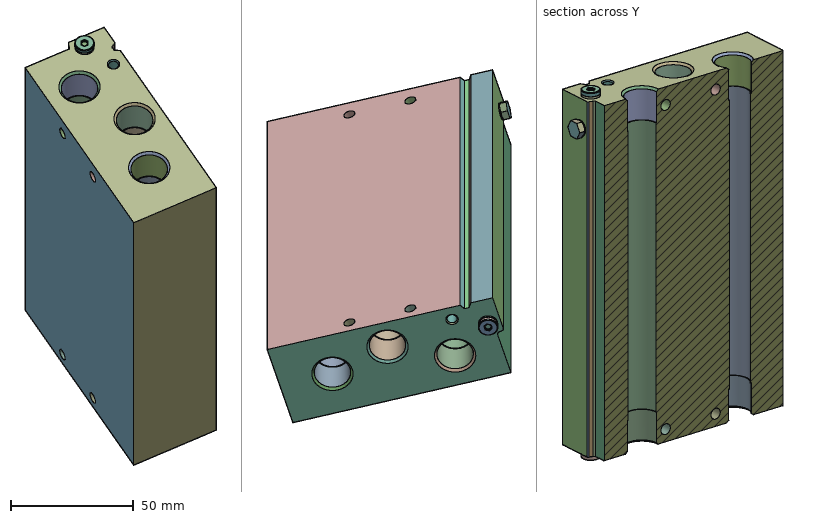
import cadquery as cq
import math

TOTAL_LENGTH = 163.5
BLOCK_WIDTH = 95.6
BLOCK_THICKNESS = 38.5
BLOCK_LENGTH = 158.0
LEFT = -BLOCK_WIDTH / 2
RIGHT = BLOCK_WIDTH / 2
FRONT = -BLOCK_THICKNESS / 2
BACK = BLOCK_THICKNESS / 2
TOP = BLOCK_LENGTH / 2

STEP_SETBACK = 3.1
SHOULDER_REAR_Y = 2.8
SHOULDER_REAR_BEVEL = (0.5, 0.5)
SHOULDER_FRONT_BEVEL = (0.8, 0.7)
SHOULDER_DROP = 1.6

GROOVE_X = -36.3
GROOVE_MOUTH = 4.5
GROOVE_FLOOR = 2.0
GROOVE_DEPTH = 2.1

ENDS = (1, -1)

AXIS_Y = 7.2

PORT_CENTRES = [(-25.2, -4.5), (0.2, AXIS_Y), (25.5, 0.2)]
PORT_DIAMETER = 14.2
PORT_ENTRY_DIAMETER = 14.9
PORT_ENTRY_DEPTH = 14.7
PORT_CHAMFER = 1.0

PILOT_CENTRE = (-29.0, 13.2)
PILOT_DIAMETER = 4.1
PILOT_MOUTH_DIAMETER = 5.0

MOUNT_DIAMETER = 4.5
MOUNT_X = [-12.9, 12.9]
MOUNT_Z = [-73.2, 70.8]

HEX_SIDES = 6

PLUG_X = -42.5
PLUG_HEIGHT = (TOTAL_LENGTH - BLOCK_LENGTH) / 2
PLUG_HEAD_DIAMETER = 8.0
PLUG_HEAD_HEIGHT = 1.8
PLUG_HEAD_CHAMFER = 0.3
PLUG_COLLAR_DIAMETER = 7.8
SOCKET_CORNERS = 3.5
SOCKET_DEPTH = 0.5
SOCKET_BORE_DIAMETER = 2.5
SOCKET_BORE_DEPTH = 0.8

BOLT_Z = 65.9
BOLT_HEIGHT = 3.5
BOLT_WASHER_HEIGHT = 0.5
BOLT_CORNERS = 8.0
BOLT_FLATS = BOLT_CORNERS * math.cos(math.pi / HEX_SIDES)
BOLT_BEVEL_ANGLE = 30.0


def make_block():
    shoulder_front_y = SHOULDER_REAR_Y - SHOULDER_DROP
    outline = [
        (LEFT, BACK),
        (GROOVE_X - GROOVE_MOUTH / 2, BACK),
        (GROOVE_X - GROOVE_FLOOR / 2, BACK - GROOVE_DEPTH),
        (GROOVE_X + GROOVE_FLOOR / 2, BACK - GROOVE_DEPTH),
        (GROOVE_X + GROOVE_MOUTH / 2, BACK),
        (RIGHT, BACK),
        (RIGHT, FRONT),
        (LEFT + STEP_SETBACK, FRONT),
        (LEFT + STEP_SETBACK, shoulder_front_y),
        (LEFT + STEP_SETBACK - SHOULDER_FRONT_BEVEL[0], shoulder_front_y + SHOULDER_FRONT_BEVEL[1]),
        (LEFT + SHOULDER_REAR_BEVEL[0], SHOULDER_REAR_Y - SHOULDER_REAR_BEVEL[1]),
        (LEFT, SHOULDER_REAR_Y),
    ]
    return cq.Workplane("XY").workplane(offset=-TOP).polyline(outline).close().extrude(BLOCK_LENGTH)


def cylinder_z(centre, diameter, base_z, height):
    """Cylinder along Z from base_z, going down when the height is negative."""
    return cq.Workplane("XY", origin=(*centre, base_z)).circle(diameter / 2).extrude(height)


def cone_z(centre, base_diameter, tip_diameter, base_z, height):
    """Cone frustum along Z from base_z, going down when the height is negative."""
    cone = cq.Solid.makeCone(
        base_diameter / 2,
        tip_diameter / 2,
        abs(height),
        pnt=cq.Vector(*centre, base_z),
        dir=cq.Vector(0, 0, height),
    )
    return cq.Workplane(cone)


def make_port(centre):
    port = cylinder_z(centre, PORT_DIAMETER, -TOP, BLOCK_LENGTH)
    mouth_diameter = PORT_ENTRY_DIAMETER + 2 * PORT_CHAMFER
    for end in ENDS:
        entry = cylinder_z(centre, PORT_ENTRY_DIAMETER, end * TOP, -end * PORT_ENTRY_DEPTH)
        chamfer = cone_z(centre, mouth_diameter, PORT_ENTRY_DIAMETER, end * TOP, -end * PORT_CHAMFER)
        port = port.union(entry).union(chamfer)
    return port


def make_pilot_port():
    pilot = cylinder_z(PILOT_CENTRE, PILOT_DIAMETER, -TOP, BLOCK_LENGTH)
    depth = (PILOT_MOUTH_DIAMETER - PILOT_DIAMETER) / 2
    for end in ENDS:
        mouth = cone_z(PILOT_CENTRE, PILOT_MOUTH_DIAMETER, PILOT_DIAMETER, end * TOP, -end * depth)
        pilot = pilot.union(mouth)
    return pilot


def make_mount_holes():
    return (
        cq.Workplane("XZ", origin=(0, BACK, 0))
        .pushPoints([(x, z) for x in MOUNT_X for z in MOUNT_Z])
        .circle(MOUNT_DIAMETER / 2)
        .extrude(BLOCK_THICKNESS)
    )


def make_plug(end):
    """One plug standing on the top (end = 1) or the bottom (end = -1) of the block."""
    centre = (PLUG_X, AXIS_Y)
    outer = end * (TOP + PLUG_HEIGHT)
    collar_height = PLUG_HEIGHT - PLUG_HEAD_HEIGHT
    collar = cylinder_z(centre, PLUG_COLLAR_DIAMETER, end * TOP, end * collar_height)
    head = cylinder_z(centre, PLUG_HEAD_DIAMETER, outer, -end * PLUG_HEAD_HEIGHT)
    head = head.faces(">Z" if end > 0 else "<Z").chamfer(PLUG_HEAD_CHAMFER)
    hexagon = (
        cq.Workplane("XY", origin=(*centre, outer))
        .transformed(rotate=(0, 0, 90))
        .polygon(HEX_SIDES, SOCKET_CORNERS)
        .extrude(-end * SOCKET_DEPTH)
    )
    bore = cylinder_z(centre, SOCKET_BORE_DIAMETER, outer, -end * SOCKET_BORE_DEPTH)
    return collar.union(head).cut(hexagon).cut(bore)


def make_bolt():
    """Hex head on a round washer face, corners toward +Y and -Y, bevelled on the block side."""
    base = cq.Workplane("YZ", origin=(LEFT, AXIS_Y, BOLT_Z))
    washer = base.circle(BOLT_FLATS / 2).extrude(-BOLT_WASHER_HEIGHT)
    hexagon_height = BOLT_HEIGHT - BOLT_WASHER_HEIGHT
    hexagon_base = base.workplane(offset=-BOLT_WASHER_HEIGHT)
    hexagon = hexagon_base.polygon(HEX_SIDES, BOLT_CORNERS).extrude(-hexagon_height)
    bevel = cq.Solid.makeCone(
        BOLT_FLATS / 2,
        BOLT_FLATS / 2 + hexagon_height / math.tan(math.radians(BOLT_BEVEL_ANGLE)),
        hexagon_height,
        pnt=cq.Vector(LEFT - BOLT_WASHER_HEIGHT, AXIS_Y, BOLT_Z),
        dir=cq.Vector(-1, 0, 0),
    )
    return hexagon.intersect(cq.Workplane(bevel)).union(washer)


block = make_block()
for port_centre in PORT_CENTRES:
    block = block.cut(make_port(port_centre))
block = block.cut(make_pilot_port()).cut(make_mount_holes())

plugs = [make_plug(end).val() for end in ENDS]
bolt = make_bolt()

result = cq.Compound.makeCompound([block.val(), *plugs, bolt.val()])